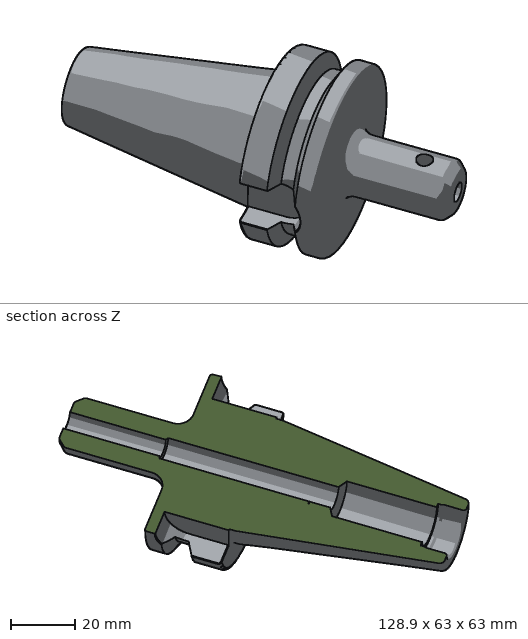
import cadquery as cq
import math

TOTAL_LENGTH = 128.9

TAPER_RATIO = 7 / 24
GAUGE_DIAMETER = 44.5
GAUGE_X = 65.4
TIP_FILLET = 1.8

FLANGE_DIAMETER = 63.0
FLANGE_FRONT_X = 67.4
FLANGE_BACK_X = 92.3
FLANGE_EDGE_FILLET = 1.0
NECK_FILLET = 0.4

GROOVE_FLOOR_DIAMETER = 53.5
GROOVE_FLOOR_WIDTH = 4.3
GROOVE_CENTER_X = 81.9
GROOVE_WALL_ANGLE = 30.0

SLOT_WIDTH = 16.2
SLOT_END_X = 88.5
SLOT_FLOOR_Y = 22.7
SLOT_EDGE_CHAMFER = 0.3

SHANK_DIAMETER = 20.0
SHANK_ROOT_FILLET = 5.0
SHANK_CHAMFER = 2.7
SHANK_CHAMFER_BLEND = 1.5

MOUTH_FILLET = 1.0
COUNTERBORE_DIAMETER = 17.0
COUNTERBORE_END_X = 7.1
RECESS_DIAMETER = 16.5
RECESS_START_X = 8.0
RECESS_FLOOR_X = 9.0
THREAD_BORE_DIAMETER = 13.8
THREAD_BORE_END_X = 38.7
COOLANT_BORE_DIAMETER = 8.0
COOLANT_BORE_END_X = 96.7
THROUGH_HOLE_DIAMETER = 6.3
DRILL_POINT_ANGLE = 118.0

SCREW_HOLE_DIAMETER = 5.4
SCREW_HOLE_X = 117.7


def revolve_about_x(points):
    """Revolve a closed outline of (x, radius) points about the X axis."""
    return cq.Workplane("XY").polyline(points).close().revolve(360, (0, 0, 0), (1, 0, 0))


def cylinder_along_x(diameter, start_x, end_x):
    plane = cq.Workplane("YZ", origin=(start_x, 0, 0))
    return plane.circle(diameter / 2).extrude(end_x - start_x)


def drill_point_length(large_diameter, small_diameter):
    """Axial length of a drill point between two diameters."""
    half_angle = math.radians(DRILL_POINT_ANGLE / 2)
    return (large_diameter - small_diameter) / 2 / math.tan(half_angle)


def make_taper():
    gauge_radius = GAUGE_DIAMETER / 2
    tip_radius = gauge_radius - GAUGE_X * TAPER_RATIO / 2
    cone = revolve_about_x([(0, 0), (0, tip_radius), (GAUGE_X, gauge_radius), (GAUGE_X, 0)])
    return cone.faces("<X").edges().fillet(TIP_FILLET)


def make_flange():
    disc = cylinder_along_x(FLANGE_DIAMETER, FLANGE_FRONT_X, FLANGE_BACK_X)
    return disc.faces("<X or >X").edges().fillet(FLANGE_EDGE_FILLET)


def make_shank():
    shank = cylinder_along_x(SHANK_DIAMETER, FLANGE_BACK_X, TOTAL_LENGTH)
    shank = shank.faces(">X").edges().chamfer(SHANK_CHAMFER)
    chamfer_edges = shank.faces("%CONE").edges("%CIRCLE")
    return chamfer_edges.fillet(SHANK_CHAMFER_BLEND)


def make_v_groove():
    floor_radius = GROOVE_FLOOR_DIAMETER / 2
    flange_radius = FLANGE_DIAMETER / 2
    half_floor = GROOVE_FLOOR_WIDTH / 2
    wall_run = (flange_radius - floor_radius) * math.tan(math.radians(GROOVE_WALL_ANGLE))
    half_mouth = half_floor + wall_run
    return revolve_about_x([
        (GROOVE_CENTER_X - half_floor, floor_radius),
        (GROOVE_CENTER_X - half_mouth, flange_radius),
        (GROOVE_CENTER_X + half_mouth, flange_radius),
        (GROOVE_CENTER_X + half_floor, floor_radius),
    ])


def make_slot(side):
    """Round-ended slot cutter on one side of the flange (side is -1 for -Y, +1 for +Y)."""
    half_width = SLOT_WIDTH / 2
    arc_center_x = SLOT_END_X - half_width
    depth = FLANGE_DIAMETER / 2 - SLOT_FLOOR_Y
    floor_plane = cq.Workplane("XZ", origin=(0, side * SLOT_FLOOR_Y, 0))
    outline = (
        floor_plane.moveTo(FLANGE_FRONT_X, -half_width)
        .lineTo(arc_center_x, -half_width)
        .threePointArc((SLOT_END_X, 0), (arc_center_x, half_width))
        .lineTo(FLANGE_FRONT_X, half_width)
        .close()
    )
    return outline.extrude(-side * depth)


def make_bore():
    counterbore_radius = COUNTERBORE_DIAMETER / 2
    recess_radius = RECESS_DIAMETER / 2
    thread_radius = THREAD_BORE_DIAMETER / 2
    coolant_radius = COOLANT_BORE_DIAMETER / 2
    through_radius = THROUGH_HOLE_DIAMETER / 2
    thread_point = drill_point_length(THREAD_BORE_DIAMETER, COOLANT_BORE_DIAMETER)
    coolant_point = drill_point_length(COOLANT_BORE_DIAMETER, THROUGH_HOLE_DIAMETER)
    return revolve_about_x([
        (0, 0),
        (0, counterbore_radius),
        (COUNTERBORE_END_X, counterbore_radius),
        (RECESS_START_X, recess_radius),
        (RECESS_FLOOR_X, recess_radius),
        (RECESS_FLOOR_X, thread_radius),
        (THREAD_BORE_END_X, thread_radius),
        (THREAD_BORE_END_X + thread_point, coolant_radius),
        (COOLANT_BORE_END_X, coolant_radius),
        (COOLANT_BORE_END_X + coolant_point, through_radius),
        (TOTAL_LENGTH, through_radius),
        (TOTAL_LENGTH, 0),
    ])


def make_screw_hole():
    plane = cq.Workplane("XY", origin=(SCREW_HOLE_X, 0, 0))
    return plane.circle(SCREW_HOLE_DIAMETER / 2).extrude(SHANK_DIAMETER / 2)


class SlotRimSelector(cq.Selector):
    """Edges of the slot walls that do not lie on the slot floors."""

    def filter(self, objects):
        return [edge for edge in objects if self.is_on_rim(edge)]

    def is_on_rim(self, edge):
        center = edge.Center()
        box = edge.BoundingBox()
        inside_slot = FLANGE_FRONT_X - 0.01 <= box.xmin and box.xmax <= SLOT_END_X + 0.01
        within_width = max(abs(box.zmin), abs(box.zmax)) <= SLOT_WIDTH / 2 + 0.01
        return inside_slot and within_width and abs(center.y) > SLOT_FLOOR_Y + 0.1


neck = cylinder_along_x(GAUGE_DIAMETER, GAUGE_X, FLANGE_FRONT_X)
body = make_taper().union(neck).union(make_flange()).union(make_shank())

flange_front = body.faces("%PLANE").faces(cq.selectors.CenterNthSelector(cq.Vector(1, 0, 0), 1))
body = flange_front.edges(cq.selectors.RadiusNthSelector(0)).fillet(NECK_FILLET)
flange_back = body.faces("%PLANE").faces(cq.selectors.CenterNthSelector(cq.Vector(1, 0, 0), 2))
body = flange_back.edges(cq.selectors.RadiusNthSelector(0)).fillet(SHANK_ROOT_FILLET)

for slot_side in (-1, 1):
    body = body.cut(make_slot(slot_side))
body = body.edges(SlotRimSelector()).chamfer(SLOT_EDGE_CHAMFER)
body = body.cut(make_v_groove())

body = body.cut(make_bore()).cut(make_screw_hole())

bore_mouth = body.faces("<X").edges(cq.selectors.RadiusNthSelector(0))
result = bore_mouth.fillet(MOUTH_FILLET)